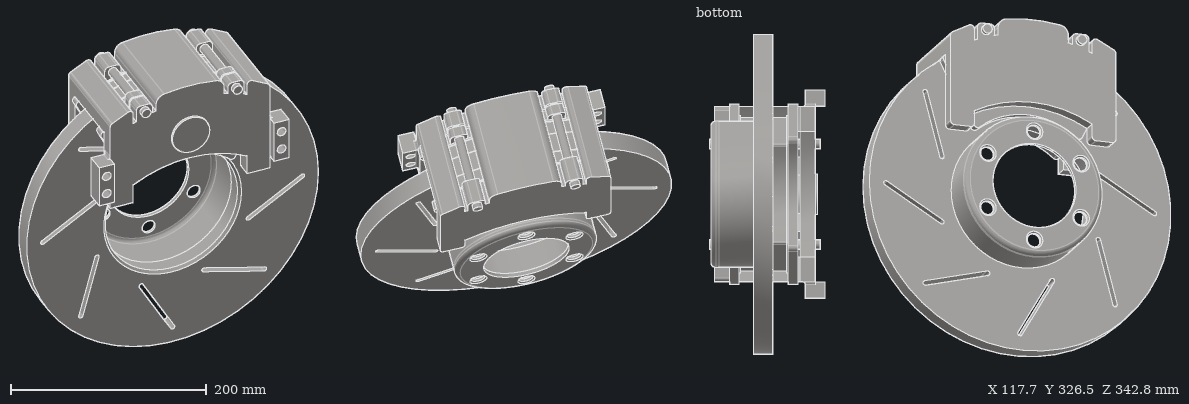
import cadquery as cq
import math


overall_height = 342.8

disc_diameter = 326.5
disc_radius = disc_diameter / 2
disc_thickness = 20.0
hat_face_x = -53.5
hat_radius = 74.7
hat_fillet = 5.0
hat_flange = 4.5
hat_bore_radius = 45.0
hat_cavity_radius = 74.0
hat_cavity_fillet = 4.0
hat_cavity_chamfer = 3.0
bolt_count = 6
bolt_circle_radius = 58.3
bolt_hole_radius = 7.2
bolt_hole_chamfer = 1.7
slot_count = 8
slot_width = 4.8
slot_outer_y = 145.5
slot_length = 70.0
slot_angle = 30.0

caliper_left_x = -49.7
caliper_right_x = 53.0
left_arm_thickness = 15.5
right_arm_thickness = 15.8
half_width = 89.5
shoulder_z = 155.5
shoulder_slope = 0.52
corner_fillet = 4.0
crown_radius = overall_height - disc_radius
crown_half_width = 38.0
crown_fillet = 10.5
window_half_width = 63.8
window_bottom_z = 137.0
window_height = 51.5
lug_width = 18.0
lug_top_z = 169.7
lug_fillet = 4.8
left_arm_bottom_z = 57.0
right_arm_bottom_z = 52.8
arch_side_z = 74.5
arch_top_z = 90.5

pin_spacing = 102.5
pin_y = pin_spacing / 2
pin_z = 162.5
pin_diameter = 10.0
pin_overhang = 5.0

left_backplate_thickness = 9.5
right_backplate_thickness = 10.3
backplate_inner_radius = 82.0
backplate_bottom_y = 56.2
backplate_top_y = 93.2
shim_thickness = 1.7
shim_inner_radius = 91.2
shim_bottom_y = 51.0
shim_top_y = 81.0
lining_outer_radius = 162.0
lining_inner_radius = 92.5
lining_bottom_y = 50.5
lining_top_y = 79.0
backplate_fillet = 4.0
lining_fillet = 1.7

piston_length = 1.7
piston_z = 120.0
piston_radius = 19.5
cap_radius = 21.0
cap_height = 2.5

bracket_left_x = 43.0
bracket_right_x = 63.0
bracket_depth = 16.8
bracket_bottom_z = 67.0
bracket_top_z = 113.8
bracket_hole_radius = 4.8
bracket_hole_pitch = 21.3
bracket_fillet = 2.7
edge_margin = 0.5

disc_left_x = -disc_thickness / 2
disc_right_x = disc_thickness / 2
left_arm_inner_x = caliper_left_x + left_arm_thickness
right_arm_inner_x = caliper_right_x - right_arm_thickness


def yz_plane(x):
    return cq.Workplane("YZ", origin=(x, 0, 0))


def height_on_circle(radius, y):
    return math.sqrt(radius**2 - y**2)


def round_corners(body, x, corners, radius):
    """Fillet the edges along X that pass through each (y, z) corner and its mirror image."""
    for y, z in corners:
        for side in (-1, 1):
            body = body.edges("|X").edges(cq.NearestToPointSelector((x, side * y, z))).fillet(radius)
    return body


def make_rotor_blank():
    """Disc and hollow hat with a rounded front edge and a chamfered rear opening."""
    depth = disc_right_x - hat_face_x
    disc = yz_plane(disc_left_x).circle(disc_radius).extrude(disc_thickness)
    hat = yz_plane(hat_face_x).circle(hat_radius).extrude(depth)
    hat = hat.faces("<X").edges().fillet(hat_fillet)
    bore = yz_plane(hat_face_x).circle(hat_bore_radius).extrude(depth)
    cavity = yz_plane(hat_face_x + hat_flange).circle(hat_cavity_radius).extrude(depth - hat_flange)
    cavity = cavity.faces("<X").edges().fillet(hat_cavity_fillet)
    blank = disc.union(hat).cut(bore).cut(cavity)
    return blank.faces(">X").edges(cq.selectors.RadiusNthSelector(0)).chamfer(hat_cavity_chamfer)


def make_bolt_hole():
    """Through hole in the hat flange, straight above the axis, with a chamfered mouth."""
    hole = yz_plane(hat_face_x).center(0, bolt_circle_radius).circle(bolt_hole_radius).extrude(hat_flange)
    mouth = cq.Solid.makeCone(
        bolt_hole_radius + bolt_hole_chamfer,
        bolt_hole_radius,
        bolt_hole_chamfer,
        pnt=cq.Vector(hat_face_x, 0, bolt_circle_radius),
        dir=cq.Vector(1, 0, 0),
    )
    return hole.union(cq.Workplane(mouth))


def make_disc_slot():
    """Through slot in the disc that runs inward from the +Y side at an angle."""
    angle = math.radians(slot_angle)
    middle_y = slot_outer_y - slot_length / 2 * math.cos(angle)
    middle_z = -slot_length / 2 * math.sin(angle)
    return (
        yz_plane(disc_left_x)
        .center(middle_y, middle_z)
        .slot2D(slot_length + slot_width, slot_width, slot_angle)
        .extrude(disc_thickness)
    )


def cut_around_axis(body, cutter, count):
    for i in range(count):
        body = body.cut(cutter.rotate((0, 0, 0), (1, 0, 0), i * 360 / count))
    return body


def make_rotor():
    rotor = make_rotor_blank()
    rotor = cut_around_axis(rotor, make_bolt_hole(), bolt_count)
    return cut_around_axis(rotor, make_disc_slot(), slot_count)


def make_slab(left_x, right_x, bottom_z):
    """One slice of the caliper outline between two X positions."""
    shoulder_peak_z = shoulder_z + shoulder_slope * (half_width - window_half_width)
    crown_edge_z = height_on_circle(crown_radius, crown_half_width)
    lug_inner_y = pin_y - lug_width / 2
    lug_outer_y = pin_y + lug_width / 2
    side = [
        (crown_half_width, crown_edge_z),
        (crown_half_width, height_on_circle(disc_radius, crown_half_width)),
        (lug_inner_y, height_on_circle(disc_radius, lug_inner_y)),
        (lug_inner_y, lug_top_z),
        (lug_outer_y, lug_top_z),
        (lug_outer_y, height_on_circle(disc_radius, lug_outer_y)),
        (window_half_width, height_on_circle(disc_radius, window_half_width)),
        (window_half_width, shoulder_peak_z),
        (half_width, shoulder_z),
        (half_width, bottom_z),
        (window_half_width, bottom_z),
        (window_half_width, arch_side_z),
    ]
    mirrored = [(-y, z) for y, z in reversed(side)]
    slab = (
        yz_plane(left_x)
        .polyline(side)
        .threePointArc((0, arch_top_z), mirrored[0])
        .polyline(mirrored, includeCurrent=False)
        .threePointArc((0, crown_radius), side[0])
        .close()
        .extrude(right_x - left_x)
    )
    x = (left_x + right_x) / 2
    slab = round_corners(slab, x, [(crown_half_width, crown_edge_z)], crown_fillet)
    slab = round_corners(slab, x, [(lug_inner_y, lug_top_z), (lug_outer_y, lug_top_z)], lug_fillet)
    shoulder = [(window_half_width, shoulder_peak_z), (half_width, shoulder_z)]
    return round_corners(slab, x, shoulder, corner_fillet)


def make_window(side, left_x, length):
    """The space between the crown and a shoulder, from just below the slots upward."""
    return (
        yz_plane(left_x)
        .center(side * (crown_half_width + window_half_width) / 2, window_bottom_z + window_height / 2)
        .rect(window_half_width - crown_half_width, window_height)
        .extrude(length)
    )


def make_sector(left_x, right_x, outer_radius, inner_radius, bottom_y, top_y, fillet):
    """A pad-shaped plate between two radii with sloping sides."""
    bottom_z = height_on_circle(inner_radius, bottom_y)
    top_z = height_on_circle(outer_radius, top_y)
    sector = (
        yz_plane(left_x)
        .moveTo(-bottom_y, bottom_z)
        .threePointArc((0, inner_radius), (bottom_y, bottom_z))
        .lineTo(top_y, top_z)
        .threePointArc((0, outer_radius), (-top_y, top_z))
        .close()
        .extrude(right_x - left_x)
    )
    corners = [(bottom_y, bottom_z), (top_y, top_z)]
    return round_corners(sector, (left_x + right_x) / 2, corners, fillet)


def make_pad(back_x, thickness, disc_face_x):
    """Backplate with two lugs, a thin shim and a lining that reaches the disc face."""
    way = math.copysign(1, disc_face_x - back_x)
    front_x = back_x + way * thickness
    shim_x = front_x + way * shim_thickness
    backplate = make_sector(
        *sorted((back_x, front_x)),
        disc_radius,
        backplate_inner_radius,
        backplate_bottom_y,
        backplate_top_y,
        backplate_fillet,
    )
    outline = make_slab(*sorted((back_x, front_x)), left_arm_bottom_z)
    for side in (-1, 1):
        window = make_window(side, min(back_x, front_x), thickness)
        backplate = backplate.cut(window).union(outline.intersect(window))
    shim = make_sector(
        *sorted((front_x, shim_x)), disc_radius, shim_inner_radius, shim_bottom_y, shim_top_y, lining_fillet
    )
    lining = make_sector(
        *sorted((shim_x, disc_face_x)),
        lining_outer_radius,
        lining_inner_radius,
        lining_bottom_y,
        lining_top_y,
        lining_fillet,
    )
    return backplate.union(shim).union(lining)


def make_bracket():
    """Mounting block on the -Y side with two holes and a concave fillet where it meets the arm."""
    height = bracket_top_z - bracket_bottom_z
    middle_z = (bracket_top_z + bracket_bottom_z) / 2
    middle_y = -half_width - bracket_depth / 2
    arm_middle_x = caliper_right_x - right_arm_thickness / 2
    arm = cq.Workplane("XY").box(right_arm_thickness, bracket_depth, height + 3 * bracket_fillet)
    arm = arm.translate((arm_middle_x, bracket_depth / 2 - half_width, middle_z))
    root = cq.Workplane("XY").box(caliper_right_x - bracket_left_x, bracket_depth, height)
    root = root.translate(((caliper_right_x + bracket_left_x) / 2, middle_y, middle_z))
    inner_edges = cq.selectors.BoxSelector(
        (bracket_left_x - edge_margin, -half_width - edge_margin, bracket_bottom_z - edge_margin),
        (caliper_right_x - edge_margin, -half_width + edge_margin, bracket_top_z + edge_margin),
    )
    root = arm.union(root).edges(inner_edges).fillet(bracket_fillet)

    block = cq.Workplane("XY").box(bracket_right_x - bracket_left_x, bracket_depth, height)
    block = block.translate(((bracket_left_x + bracket_right_x) / 2, middle_y, middle_z))
    holes = (
        yz_plane(bracket_left_x)
        .center(middle_y, middle_z)
        .rarray(3.5, bracket_hole_pitch, 1, 2)
        .circle(bracket_hole_radius)
        .extrude(bracket_right_x - bracket_left_x)
    )
    return root.union(block).cut(holes)


def make_arms():
    """Left arm with rounded feet and the longer right arm with square feet."""
    left_arm = make_slab(caliper_left_x, left_arm_inner_x, left_arm_bottom_z)
    feet = [(half_width, left_arm_bottom_z), (window_half_width, left_arm_bottom_z)]
    left_arm = round_corners(left_arm, (caliper_left_x + left_arm_inner_x) / 2, feet, corner_fillet)
    return left_arm, make_slab(right_arm_inner_x, caliper_right_x, right_arm_bottom_z)


def make_bridge():
    """The part over the disc, hollowed to the disc radius and open at the two pin windows."""
    span = right_arm_inner_x - left_arm_inner_x
    bridge = make_slab(left_arm_inner_x, right_arm_inner_x, right_arm_bottom_z)
    bridge = bridge.cut(yz_plane(left_arm_inner_x).circle(disc_radius).extrude(span))
    for side in (-1, 1):
        bridge = bridge.cut(make_window(side, left_arm_inner_x, span))
    return bridge


def make_pin(side):
    return (
        yz_plane(caliper_left_x - pin_overhang)
        .center(side * pin_y, pin_z)
        .circle(pin_diameter / 2)
        .extrude(caliper_right_x - caliper_left_x + 2 * pin_overhang)
    )


def make_caliper():
    left_arm, right_arm = make_arms()
    right_pad_back_x = right_arm_inner_x - piston_length
    left_pad = make_pad(left_arm_inner_x, left_backplate_thickness, disc_left_x)
    right_pad = make_pad(right_pad_back_x, right_backplate_thickness, disc_right_x)
    piston = yz_plane(right_pad_back_x).center(0, piston_z).circle(piston_radius).extrude(piston_length)
    cap = yz_plane(caliper_right_x).center(0, piston_z).circle(cap_radius).extrude(cap_height)
    bracket = make_bracket()

    caliper = left_arm.union(make_bridge()).union(right_arm)
    features = [left_pad, right_pad, piston, cap, make_pin(-1), make_pin(1), bracket, bracket.mirror("XZ")]
    for feature in features:
        caliper = caliper.union(feature)
    return caliper


rotor = make_rotor()
caliper = make_caliper()
result = cq.Compound.makeCompound([rotor.val(), *caliper.vals()])